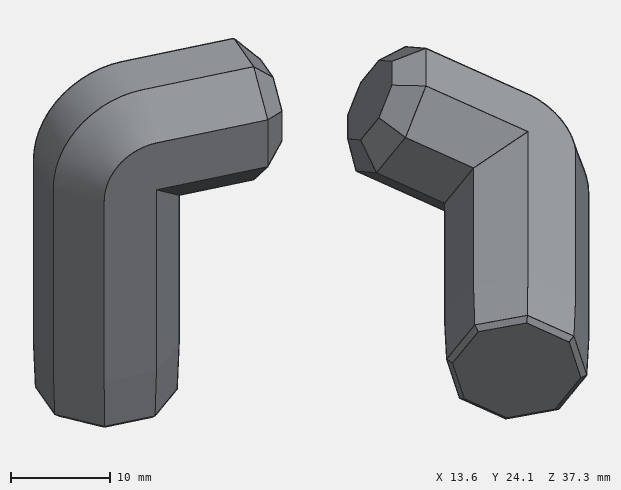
import cadquery as cq
import math

width = 13.6
depth = 24.1
height = 37.32

tip_chamfer = 2.5

foot_height = 5.95
taper_inset = 0.2
rim_height = 0.5
rim_inset = 0.55

side = width * math.tan(math.pi / 8)
corner = (width - side) / 2
bend_radius = width - corner
leg_center = width / 2 - corner
tip_y = depth - bend_radius
bottom_z = bend_radius - height


def octagon(across_flats):
    """Corner points of a regular octagon with flats facing the axes."""
    radius = across_flats / 2 / math.cos(math.pi / 8)
    angles = [math.pi / 8 + i * math.pi / 4 for i in range(8)]
    return [(radius * math.cos(a), radius * math.sin(a)) for a in angles]


def loft_leg(plane, start, start_inset, end, end_inset):
    """Octagonal leg section between two offsets, each with its own inset per side."""
    return (
        cq.Workplane(plane)
        .workplane(offset=start)
        .polyline(octagon(width - 2 * start_inset)).close()
        .workplane(offset=end - start)
        .polyline(octagon(width - 2 * end_inset)).close()
        .loft(ruled=True, combine=True)
    )


def vertical_leg():
    """Straight shank, tapered foot and bottom bevel, running down from the bend."""
    plane = cq.Plane(origin=(0, -leg_center, 0), xDir=(1, 0, 0), normal=(0, 0, -1))
    length = -bottom_z
    taper_start = length - foot_height
    rim_start = length - rim_height
    shank = loft_leg(plane, 0, 0, taper_start, 0)
    foot = loft_leg(plane, taper_start, 0, rim_start, taper_inset)
    rim = loft_leg(plane, rim_start, taper_inset, length, taper_inset + rim_inset)
    return shank.union(foot).union(rim)


def horizontal_leg():
    """Straight arm with a chamfered tip, running along +Y from the bend."""
    plane = cq.Plane(origin=(0, 0, leg_center), xDir=(1, 0, 0), normal=(0, 1, 0))
    tip_start = tip_y - tip_chamfer
    arm = loft_leg(plane, 0, 0, tip_start, 0)
    tip = loft_leg(plane, tip_start, 0, tip_y, tip_chamfer)
    return arm.union(tip)


def bend():
    """Quarter turn of the octagon part that lies outside the bend axis."""
    half_profile = [
        (-width / 2, 0),
        (width / 2, 0),
        (width / 2, side),
        (side / 2, bend_radius),
        (-side / 2, bend_radius),
        (-width / 2, side),
    ]
    return (
        cq.Workplane("XZ")
        .polyline(half_profile).close()
        .revolve(90, (0, 0), (1, 0))
    )


result = vertical_leg().union(horizontal_leg()).union(bend())